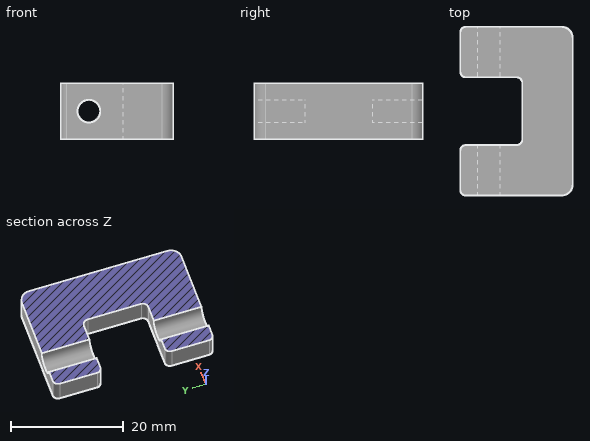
import cadquery as cq

length = 30.0
width = length * 2 / 3
thickness = length / 3

slot_width = 12.0
slot_depth = 11.0

back_radius = 2.0
small_radius = 1.0

hole_diameter = 4.0
hole_inset = width / 4

front_x = -width / 2


def make_bracket():
    """C-shaped block with rounded vertical edges."""
    block = cq.Workplane("XY").box(width, length, thickness)
    block = block.edges("|Z and >X").fillet(back_radius)

    slot = (
        cq.Workplane("XY")
        .box(slot_depth, slot_width, thickness)
        .translate((front_x + slot_depth / 2, 0, 0))
    )
    slot = slot.edges("|Z and >X").fillet(small_radius)

    return block.cut(slot).edges("|Z and <X").fillet(small_radius)


def make_cross_hole():
    """Cylinder along Y that passes through both arms."""
    return (
        cq.Workplane("XZ")
        .center(front_x + hole_inset, 0)
        .circle(hole_diameter / 2)
        .extrude(length / 2, both=True)
    )


result = make_bracket().cut(make_cross_hole())